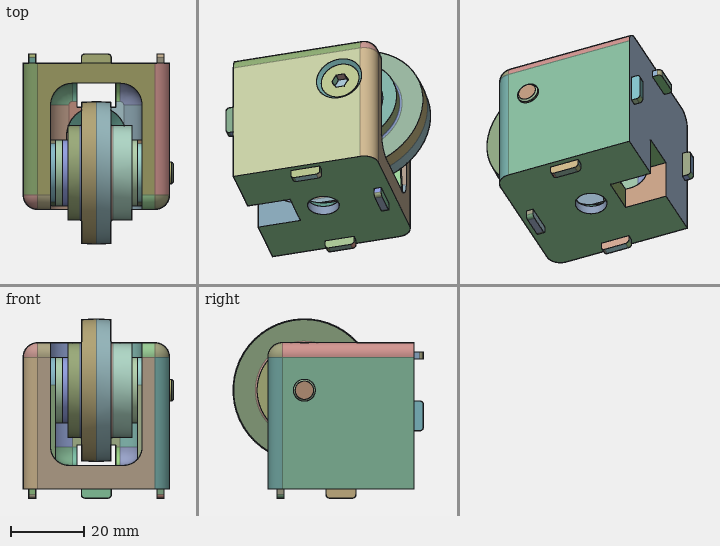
import cadquery as cq
import math

cube = 40.0
half = cube / 2
outer_fillet = 4.0

pocket_width = 25.0
pocket_half = pocket_width / 2
pocket_back = 14.5
pocket_floor = 6.5
pocket_corner_radius = 6.0
pocket_floor_radius = 5.0

notch_width = 10.5
notch_size = 12.0

mount_hole_diameter = 8.65
mount_sink_diameter = 16.3

axis_y = -10.0
axis_z = 27.0

pad_face = 11.2
pad_radius = 8.0
pad_center_z = 28.0
pad_draft = math.radians(3.0)
pad_root_z = 4.0
pad_embed = 1.0

tab_width = 8.2
tab_thickness = 2.0
tab_height = 2.5
tab_corner_radius = 1.0
side_tab_center = 17.5
end_tab_center = 16.5

screw_diameter = 6.0
screw_length = 40.0
screw_head_depth = 1.05
screw_end_chamfer = 0.5
socket_across_flats = 4.0
socket_depth = 2.5
sink_diameter = 12.8
clearance_hole_diameter = 6.6

tyre_diameter = 39.0
tyre_width = 8.0
tyre_edge_drop = 0.2
hub_diameter = 25.8
hub_left = -7.75
hub_right = 9.7
hub_fillet = 0.5

washer_diameter = 18.0
axle_bore = 6.4
washer_joint = -9.3


def box(x0, x1, y0, y1, z0, z1):
    """Box between the given limits."""
    return cq.Workplane("XY").box(x1 - x0, y1 - y0, z1 - z0, centered=False).translate((x0, y0, z0))


def axle_cylinder(diameter, x0, x1):
    """Cylinder on the wheel axis from x0 to x1."""
    plane = cq.Workplane("YZ", origin=(x0, axis_y, axis_z))
    return plane.circle(diameter / 2).extrude(x1 - x0)


def turned(points):
    """Solid turned about the wheel axis from (x, radius) points."""
    plane = cq.Workplane("XY", origin=(0, axis_y, axis_z))
    return plane.polyline(points).close().revolve(360, (0, 0, 0), (1, 0, 0))


def outer_block():
    block = box(-half, half, -half, half, 0, cube)
    return block.edges("(|Z and <Y) or (|Y and >Z) or (|X and >Z and <Y)").fillet(outer_fillet)


def wheel_pocket():
    pocket = box(-pocket_half, pocket_half, -cube, pocket_back, pocket_floor, 2 * cube)
    pocket = pocket.edges("|Z and >Y").fillet(pocket_corner_radius)
    return pocket.faces("<Z").edges("not(<Y)").fillet(pocket_floor_radius)


def axle_pad(side):
    """Round-topped pad with drafted flanks on the pocket side at +X (1) or -X (-1)."""
    tangent_y = pad_radius * math.cos(pad_draft)
    tangent_z = pad_center_z + pad_radius * math.sin(pad_draft)
    root_y = tangent_y + (tangent_z - pad_root_z) * math.tan(pad_draft)
    plane = cq.Workplane("YZ", origin=(side * pad_face, axis_y, 0))
    outline = (
        plane.moveTo(-root_y, pad_root_z)
        .lineTo(-tangent_y, tangent_z)
        .threePointArc((0, pad_center_z + pad_radius), (tangent_y, tangent_z))
        .lineTo(root_y, pad_root_z)
        .close()
    )
    return outline.extrude(side * (pocket_half + pad_embed - pad_face))


def tab(along_x):
    """Tab pointing down from the origin, its width along X or along Y."""
    plate = cq.Workplane("XY").box(tab_width, tab_thickness, tab_height, centered=(True, True, False))
    plate = plate.edges("|Y and <Z").fillet(tab_corner_radius)
    plate = plate.translate((0, 0, -tab_height))
    return plate if along_x else plate.rotate((0, 0, 0), (0, 0, 1), 90)


def bottom_tabs():
    """Two side tabs and one front tab on the bottom face."""
    tabs = tab(True).translate((0, -end_tab_center, 0))
    for side in (-1, 1):
        tabs = tabs.union(tab(False).translate((side * side_tab_center, 0, 0)))
    return tabs


def back_tabs():
    """The bottom tab pattern turned onto the back face, its single tab at the top."""
    turned_tabs = bottom_tabs().rotate((0, 0, 0), (1, 0, 0), 90)
    upright = turned_tabs.mirror("XY")
    return upright.translate((0, half, half))


def mount_hole():
    """Countersunk vertical hole in the middle of the pocket floor."""
    plane = cq.Workplane("XY", origin=(0, 0, pocket_floor))
    sink_depth = (mount_sink_diameter - mount_hole_diameter) / 2
    hole = plane.circle(mount_hole_diameter / 2).extrude(-pocket_floor)
    sink = cq.Workplane("XY").add(
        cq.Solid.makeCone(
            mount_hole_diameter / 2, mount_sink_diameter / 2, sink_depth,
            pnt=cq.Vector(0, 0, pocket_floor - sink_depth),
        )
    )
    return hole.union(sink)


def screw_holes():
    """Countersunk clearance hole in the -X wall, plain screw hole in the +X wall."""
    sink_radius = sink_diameter / 2
    hole_radius = clearance_hole_diameter / 2
    sink_end = -half + sink_radius - hole_radius
    clearance = turned([
        (-half, 0), (-half, sink_radius), (sink_end, hole_radius), (0, hole_radius), (0, 0),
    ])
    return clearance.union(axle_cylinder(screw_diameter, 0, half))


def make_housing():
    body = outer_block().cut(wheel_pocket())
    for side in (-1, 1):
        body = body.union(axle_pad(side))
    body = body.cut(box(-notch_width / 2, notch_width / 2, half - notch_size, half, 0, notch_size))
    body = body.cut(mount_hole()).cut(screw_holes())
    return body.union(bottom_tabs()).union(back_tabs())


def make_screw():
    head_x = -half + screw_head_depth
    end_x = head_x + screw_length
    head_radius = sink_diameter / 2 - screw_head_depth
    shank_radius = screw_diameter / 2
    body = turned([
        (head_x, 0),
        (head_x, head_radius),
        (head_x + head_radius - shank_radius, shank_radius),
        (end_x - screw_end_chamfer, shank_radius),
        (end_x, shank_radius - screw_end_chamfer),
        (end_x, 0),
    ])
    across_corners = socket_across_flats / math.cos(math.pi / 6)
    socket = cq.Workplane("YZ", origin=(head_x, axis_y, axis_z)).polygon(6, across_corners)
    return body.cut(socket.extrude(socket_depth))


def make_wheel():
    """Tyre with a slightly raised middle on a hub that reaches further to +X."""
    tyre_radius = tyre_diameter / 2
    hub_radius = hub_diameter / 2
    tyre_half = tyre_width / 2
    bore_radius = axle_bore / 2
    tyre_edge_radius = tyre_radius - tyre_edge_drop
    root_radius = hub_radius + hub_fillet
    root_x = tyre_half + hub_fillet
    sag = hub_fillet * (1 - math.sqrt(0.5))
    plane = cq.Workplane("XY", origin=(0, axis_y, axis_z))
    profile = (
        plane.moveTo(hub_left, bore_radius)
        .lineTo(hub_left, hub_radius)
        .lineTo(-root_x, hub_radius)
        .threePointArc((-tyre_half - sag, hub_radius + sag), (-tyre_half, root_radius))
        .lineTo(-tyre_half, tyre_edge_radius)
        .lineTo(0, tyre_radius)
        .lineTo(tyre_half, tyre_edge_radius)
        .lineTo(tyre_half, root_radius)
        .threePointArc((tyre_half + sag, hub_radius + sag), (root_x, hub_radius))
        .lineTo(hub_right, hub_radius)
        .lineTo(hub_right, bore_radius)
        .close()
    )
    return profile.revolve(360, (0, 0, 0), (1, 0, 0))


def make_washer(x0, x1):
    return axle_cylinder(washer_diameter, x0, x1).cut(axle_cylinder(axle_bore, x0, x1))


housing = make_housing()
screw = make_screw()
wheel = make_wheel()
washer_spans = [(-pad_face, washer_joint), (washer_joint, hub_left), (hub_right, pad_face)]
washers = [make_washer(x0, x1) for x0, x1 in washer_spans]

result = cq.Compound.makeCompound(
    [housing.val(), screw.val(), wheel.val(), *[washer.val() for washer in washers]]
)